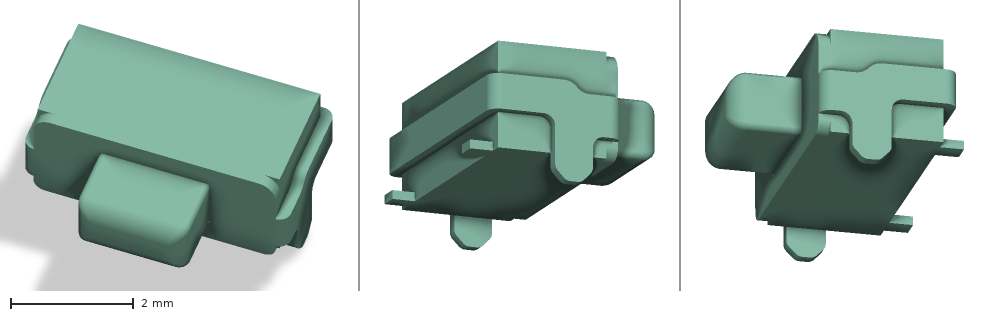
import cadquery as cq


sheet = 0.2
housing_width = 4.2
housing_depth = 1.9
housing_height = 1.8
housing_back = sheet + housing_depth
shield_width = housing_width + 2 * sheet
shield_depth = housing_depth + 2 * sheet
bend_radius = sheet

plate_top_radius = 0.3
plate_bottom_radius = 0.2

front_band_bottom = 0.3
front_band_top = 1.0
back_band_bottom = 0.6
back_band_top = 1.2
step_front = 0.7
step_back = step_front + (back_band_top - front_band_top)
step_radius = 0.3

leg_front = 0.52
leg_width = 0.66
leg_back = leg_front + leg_width
leg_length = 0.5
leg_root_radius = 0.2
leg_tip_chamfer = 0.2
leg_tip_radius = 0.15

button_width = 1.92
button_height = 1.0
button_projection = 1.2
button_center_z = housing_height / 2
button_nose_radius = 0.3
button_edge_radius = 0.1

terminal_width = 0.35
terminal_thickness = 0.15
terminal_length = 0.4
terminal_spacing = 3.4


def box(width, depth, height, front, bottom):
    """Box centred on X, starting at the given Y and Z."""
    return (
        cq.Workplane("XY")
        .box(width, depth, height, centered=(True, False, False))
        .translate((0, front, bottom))
    )


def round_at(solid, y, z, radius):
    """Round the X-direction edges that pass through the point (y, z)."""
    reach = 0.001
    near_point = cq.selectors.BoxSelector(
        (-shield_width, y - reach, z - reach),
        (shield_width, y + reach, z + reach),
    )
    return solid.edges("|X").edges(near_point).fillet(radius)


def make_housing():
    return box(housing_width, housing_depth, housing_height, sheet, 0)


def make_band_profile():
    """Side outline of the band and its leg, extruded across the full width."""
    profile = (
        cq.Workplane("YZ")
        .moveTo(0, front_band_top)
        .lineTo(step_front, front_band_top)
        .lineTo(step_back, back_band_top)
        .lineTo(shield_depth, back_band_top)
        .lineTo(shield_depth, back_band_bottom)
        .lineTo(leg_back, back_band_bottom)
        .lineTo(leg_back, leg_tip_chamfer - leg_length)
        .lineTo(leg_back - leg_tip_chamfer, -leg_length)
        .lineTo(leg_front + leg_tip_chamfer, -leg_length)
        .lineTo(leg_front, leg_tip_chamfer - leg_length)
        .lineTo(leg_front, front_band_bottom)
        .lineTo(0, front_band_bottom)
        .close()
        .extrude(shield_width / 2, both=True)
    )
    profile = round_at(profile, step_front, front_band_top, step_radius)
    profile = round_at(profile, step_back, back_band_top, step_radius)
    profile = round_at(profile, leg_back, back_band_bottom, leg_root_radius)
    profile = round_at(profile, leg_front, front_band_bottom, leg_root_radius)
    for side_y, inward in ((leg_front, 1), (leg_back, -1)):
        profile = round_at(profile, side_y, leg_tip_chamfer - leg_length, leg_tip_radius)
        profile = round_at(profile, side_y + inward * leg_tip_chamfer, -leg_length, leg_tip_radius)
    return profile


def make_shield():
    """Front plate with the bent band, one sheet thick around the housing."""
    wall_height = leg_length + housing_height
    wall = box(shield_width, shield_depth, wall_height, 0, -leg_length).edges("|Z").fillet(bend_radius)
    wall = wall.cut(box(housing_width, housing_depth, wall_height, sheet, -leg_length))
    band = wall.intersect(make_band_profile())

    plate = box(housing_width, sheet, housing_height, 0, 0)
    plate = plate.edges("|Y and >Z").fillet(plate_top_radius)
    plate = plate.edges("|Y and <Z").fillet(plate_bottom_radius)

    button_window = box(button_width, sheet, button_height, 0, button_center_z - button_height / 2)
    return plate.union(band).cut(button_window)


def make_button():
    """Button through the plate window, resting on the housing, with a nose rounded on all four sides."""
    length = button_projection + sheet
    bottom = button_center_z - button_height / 2
    blank = box(button_width, length, button_height, -button_projection, bottom)
    rounded_in_width = blank.edges("<Y and |Z").fillet(button_nose_radius)
    rounded_in_height = blank.edges("<Y and |X").fillet(button_nose_radius)
    button = rounded_in_width.intersect(rounded_in_height)
    return button.edges("|Y").fillet(button_edge_radius)


def make_terminal(center_x):
    terminal = box(terminal_width, terminal_length, terminal_thickness, housing_back, 0)
    return terminal.translate((center_x, 0, 0))


housing = make_housing()
shield = make_shield()
button = make_button()
terminals = [make_terminal(side * terminal_spacing / 2) for side in (-1, 1)]

result = cq.Compound.makeCompound(
    [
        housing.val(),
        shield.solids().val(),
        button.solids().val(),
        *[terminal.val() for terminal in terminals],
    ]
)